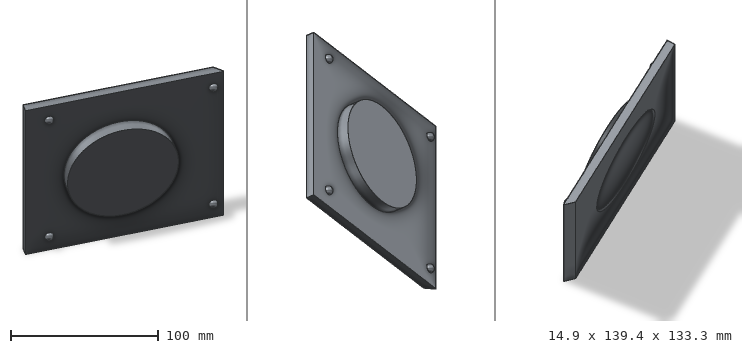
import cadquery as cq

plate_thickness = 6.1
plate_length = 139.4
plate_height = 133.3
bevel = 5.6
half_length = plate_length / 2

boss_diameter = 78.1
boss_height = 8.8
boss_from_edge = 73.3
boss_y = half_length - boss_from_edge

dish_diameter = 78.4
dish_depth = 1.3
dish_radius = dish_diameter / 2
dish_floor_radius = dish_radius - dish_depth

ball_diameter = 6.4
ball_spacing_z = 107.9
upper_ball_from_edge = 7.2
lower_ball_from_edge = 122.8
ball_places = [
    (half_length - from_edge, side * ball_spacing_z / 2)
    for from_edge in (upper_ball_from_edge, lower_ball_from_edge)
    for side in (-1, 1)
]


def make_ball(y, z):
    """Ball centered on the back face of the plate."""
    return cq.Workplane("XY").sphere(ball_diameter / 2).translate((plate_thickness, y, z))


def make_slab():
    """Flat plate with its +Y end beveled toward the front face."""
    profile = [
        (0, -half_length),
        (plate_thickness, -half_length),
        (plate_thickness, half_length),
        (bevel, half_length),
        (0, half_length - bevel),
    ]
    return cq.Workplane("XY").polyline(profile).close().extrude(plate_height / 2, both=True)


def make_boss():
    """Solid disc standing on the back face."""
    back_face = cq.Workplane("YZ", origin=(plate_thickness, boss_y, 0))
    return back_face.circle(boss_diameter / 2).extrude(boss_height)


def make_dish():
    """Cutter for the dish: a frustum that narrows to the flat floor."""
    profile = [(0, 0), (0, dish_radius), (dish_depth, dish_floor_radius), (dish_depth, 0)]
    axis_plane = cq.Workplane("XY", origin=(0, boss_y, 0))
    return axis_plane.polyline(profile).close().revolve(360, (0, 0, 0), (1, 0, 0))


def make_plate():
    """Plate with boss and dish, and a half-round socket for each ball."""
    body = make_slab().union(make_boss()).cut(make_dish())
    for y, z in ball_places:
        body = body.cut(make_ball(y, z))
    return body


plate = make_plate()
balls = [make_ball(y, z) for y, z in ball_places]

result = cq.Compound.makeCompound([plate.solids().val(), *[ball.val() for ball in balls]])